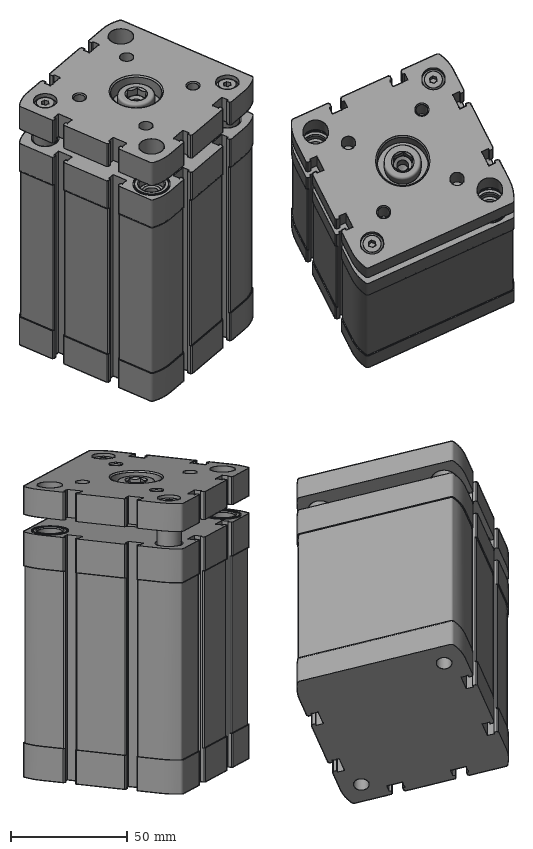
import cadquery as cq
import math

width = 75.5
total_height = 129.0
plate_thickness = 12.4
gap = 7.7
cap_height = 15.1
barrel_inset = 0.5
half = width / 2
plate_bottom = total_height - plate_thickness
housing_top = plate_bottom - gap

side_arc_radius = 19.4
side_arc_start = 27.9
corner_radius = 1.5

slot_offset = 14.5
slot_mouth = 5.2
slot_inner = 7.1
slot_depth = 5.3
slot_lip = 2.0
slot_lip_round = 0.5

corner_offset = 28.1
rod_corners = [(corner_offset, corner_offset), (-corner_offset, -corner_offset)]
screw_corners = [(-corner_offset, corner_offset), (corner_offset, -corner_offset)]

guide_rod_diameter = 10.6
guide_end_diameter = 10.0
guide_end_chamfer = 1.2
guide_end_recess = 1.0
guide_socket_flats = 3.0
guide_socket_depth = 3.0
guide_socket_angle = -45
guide_mouth_diameter = 12.0
rod_insertion = cap_height

screw_access_diameter = 11.0
screw_groove_outer = 16.0
screw_groove_inner = 14.7
screw_groove_depth = 0.4
screw_bore_diameter = screw_access_diameter
screw_bore_mouth = 12.0
screw_bore_depth = 4.0
screw_hole_diameter = 6.7
screw_hole_mouth = 8.3

mount_offset = 17.5
dowel_diameter = 6.0
thread_diameter = 5.0
thread_mouth = 6.0

piston_rod_diameter = 16.0
piston_rod_flats = 13.2
flats_clearance = 1.3
piston_rod_recess = 1.3
piston_rod_round = 1.0
center_bore_diameter = 22.0
center_bore_depth = 7.5
center_bore_chamfer = 0.6
hex_flats = 8.0
hex_depth = 3.9
hex_mouth_diameter = 9.7
drill_diameter = 5.0
drill_depth = 10.3
cone_slope = 0.6


def cylinder(diameter, bottom, top, x=0.0, y=0.0):
    """Upright cylinder between two heights."""
    return cq.Workplane("XY", origin=(x, y, bottom)).circle(diameter / 2).extrude(top - bottom)


def cone(bottom_diameter, top_diameter, bottom, top, x=0.0, y=0.0):
    """Upright cone or frustum between two heights."""
    axis = cq.Vector(0, 0, 1)
    solid = cq.Solid.makeCone(
        bottom_diameter / 2, top_diameter / 2, top - bottom, cq.Vector(x, y, bottom), axis
    )
    return cq.Workplane("XY").add(solid)


def countersink(hole_diameter, mouth_diameter, top, x=0.0, y=0.0):
    """45 degree cutter that widens a hole to its mouth at the top face."""
    return cone(hole_diameter, mouth_diameter, top - (mouth_diameter - hole_diameter) / 2, top, x, y)


def drilled_hole(diameter, bottom, top):
    """Central blind-hole cutter whose conical tip reaches below the given bottom."""
    radius = diameter / 2
    profile = (
        cq.Workplane("XZ")
        .moveTo(0, bottom - cone_slope * radius)
        .lineTo(radius, bottom)
        .lineTo(radius, top)
        .lineTo(0, top)
        .close()
    )
    return profile.revolve(360, (0, 0, 0), (0, 1, 0))


def hex_prism(flats, bottom, top, x=0.0, y=0.0, angle=0.0):
    """Upright hexagonal prism with a corner at the given angle from +X."""
    corners = flats / math.cos(math.pi / 6)
    prism = cq.Workplane("XY").polygon(6, corners).extrude(top - bottom)
    return prism.rotate((0, 0, 0), (0, 0, 1), angle).translate((x, y, bottom))


def block(bottom, top, inset=0.0):
    """Square section with arc-eased X sides, optionally shrunk on every side."""
    rise = half - side_arc_start
    setback = side_arc_radius - math.sqrt(side_arc_radius**2 - rise**2)
    mid_rise = rise / 2
    mid_setback = side_arc_radius - math.sqrt(side_arc_radius**2 - mid_rise**2)
    arc_mid = (half - mid_setback, side_arc_start + mid_rise)
    arc_end = (half - setback, half)
    body = (
        cq.Workplane("XY", origin=(0, 0, bottom))
        .moveTo(half, -side_arc_start)
        .lineTo(half, side_arc_start)
        .threePointArc(arc_mid, arc_end)
        .lineTo(-arc_end[0], arc_end[1])
        .threePointArc((-arc_mid[0], arc_mid[1]), (-half, side_arc_start))
        .lineTo(-half, -side_arc_start)
        .threePointArc((-arc_mid[0], -arc_mid[1]), (-arc_end[0], -arc_end[1]))
        .lineTo(arc_end[0], -arc_end[1])
        .threePointArc((arc_mid[0], -arc_mid[1]), (half, -side_arc_start))
        .close()
        .extrude(top - bottom)
    )
    reach = corner_radius / 2
    for x in (-arc_end[0], arc_end[0]):
        for y in (-half, half):
            near = cq.selectors.BoxSelector((x - reach, y - reach, bottom), (x + reach, y + reach, top))
            body = body.edges("|Z").edges(near).fillet(corner_radius)
    if inset:
        outline = body.faces("<Z").wires().val().offset2D(-inset)[0]
        body = cq.Workplane("XY").add(cq.Solid.extrudeLinear(outline, [], cq.Vector(0, 0, top - bottom)))
    return body


def t_slots(inset=0.0):
    """Full-height cutters: two round-lipped T-slots on the -Y, -X and +X sides."""
    cutters = cq.Workplane("XY")
    half_mouth = slot_mouth / 2
    half_inner = slot_inner / 2
    half_flare = half_mouth + slot_lip_round
    lip_round_end = inset + slot_lip_round
    slot = (
        cq.Workplane("XY")
        .moveTo(-half_flare, inset)
        .radiusArc((-half_mouth, lip_round_end), slot_lip_round)
        .lineTo(-half_mouth, slot_lip)
        .lineTo(-half_inner, slot_lip)
        .lineTo(-half_inner, slot_depth)
        .lineTo(half_inner, slot_depth)
        .lineTo(half_inner, slot_lip)
        .lineTo(half_mouth, slot_lip)
        .lineTo(half_mouth, lip_round_end)
        .radiusArc((half_flare, inset), slot_lip_round)
        .close()
        .extrude(total_height)
    )
    for angle in (-90, 0, 90):
        for offset in (-slot_offset, slot_offset):
            cutters.add(slot.translate((offset, -half, 0)).rotate((0, 0, 0), (0, 0, 1), angle))
    return cutters.combine()


def slotted_block(bottom, top, inset=0.0):
    """Block with the T-slots cut along its whole height."""
    return block(bottom, top, inset).cut(t_slots(inset))


def make_housing():
    """Barrel between two end caps, with bores for the three rods."""
    body = slotted_block(0, cap_height)
    body = body.union(slotted_block(cap_height, housing_top - cap_height, barrel_inset))
    body = body.union(slotted_block(housing_top - cap_height, housing_top))
    bore_bottom = housing_top - rod_insertion
    body = body.cut(cylinder(piston_rod_diameter, bore_bottom, housing_top))
    for x, y in rod_corners:
        body = body.cut(cylinder(guide_rod_diameter, bore_bottom, housing_top, x, y))
        body = body.cut(countersink(guide_rod_diameter, guide_mouth_diameter, housing_top, x, y))
    groove_floor = housing_top - screw_groove_depth
    floor = housing_top - screw_bore_depth
    for x, y in screw_corners:
        groove = cylinder(screw_groove_outer, groove_floor, housing_top, x, y)
        body = body.cut(groove.cut(cylinder(screw_groove_inner, groove_floor, housing_top, x, y)))
        body = body.cut(cylinder(screw_bore_diameter, floor, housing_top, x, y))
        body = body.cut(countersink(screw_bore_diameter, screw_bore_mouth, housing_top, x, y))
        body = body.cut(cylinder(screw_hole_diameter, 0, floor, x, y))
        body = body.cut(countersink(screw_hole_diameter, screw_hole_mouth, floor, x, y))
    return body


def make_piston_rod():
    """Piston rod with wrench flats and a hexagonal socket in its end."""
    top = total_height - piston_rod_recess
    rod = cylinder(piston_rod_diameter, housing_top - rod_insertion, top)
    rod = rod.faces(">Z").edges().fillet(piston_rod_round)
    flat_bottom = housing_top + flats_clearance
    flat_height = plate_bottom - flat_bottom
    for side in (-1, 1):
        flat = (
            cq.Workplane("XY", origin=(0, side * piston_rod_diameter, flat_bottom))
            .box(2 * piston_rod_diameter, 2 * piston_rod_diameter - piston_rod_flats,
                 flat_height, (True, True, False))
        )
        rod = rod.cut(flat)
    hex_bottom = top - hex_depth
    rod = rod.cut(hex_prism(hex_flats, hex_bottom, top))
    rod = rod.cut(countersink(hex_flats, hex_mouth_diameter, top))
    floor_drop = cone_slope * (hex_flats - drill_diameter) / 2
    rod = rod.cut(cone(drill_diameter, hex_flats, hex_bottom - floor_drop, hex_bottom))
    return rod.cut(drilled_hole(drill_diameter, top - drill_depth, hex_bottom))


def make_guide_rod(x, y):
    """Guide rod with a reduced, chamfered end that holds a hexagonal socket."""
    top = total_height - guide_end_recess
    rod = cylinder(guide_end_diameter, plate_bottom, top, x, y)
    rod = rod.faces(">Z").edges().chamfer(guide_end_chamfer)
    rod = rod.union(cylinder(guide_rod_diameter, housing_top - rod_insertion, plate_bottom, x, y))
    socket_floor = top - guide_socket_depth
    return rod.cut(hex_prism(guide_socket_flats, socket_floor, top, x, y, guide_socket_angle))


def make_moving_plate():
    """Front plate in one piece with the piston rod and both guide rods."""
    body = slotted_block(plate_bottom, total_height)
    bore_floor = total_height - center_bore_depth
    body = body.cut(cylinder(center_bore_diameter, bore_floor, total_height))
    mouth = center_bore_diameter + 2 * center_bore_chamfer
    body = body.cut(countersink(center_bore_diameter, mouth, total_height))
    for x, y in screw_corners:
        body = body.cut(cylinder(screw_access_diameter, plate_bottom, total_height, x, y))
    for side in (-mount_offset, mount_offset):
        body = body.cut(cylinder(dowel_diameter, plate_bottom, total_height, side, -side))
        body = body.cut(cylinder(thread_diameter, plate_bottom, total_height, side, side))
        body = body.cut(countersink(thread_diameter, thread_mouth, total_height, side, side))
    body = body.cut(cylinder(piston_rod_diameter, plate_bottom, bore_floor))
    body = body.union(make_piston_rod())
    for x, y in rod_corners:
        body = body.cut(cylinder(guide_end_diameter, plate_bottom, total_height, x, y))
        body = body.union(make_guide_rod(x, y))
    return body


housing = make_housing()
moving_plate = make_moving_plate()
result = cq.Compound.makeCompound([housing.val(), moving_plate.val()])